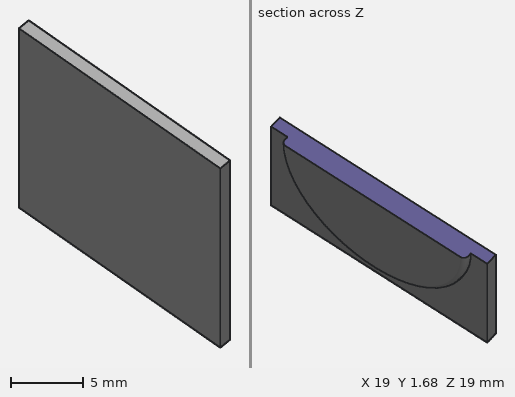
import cadquery as cq

plate_side = 19.0
plate_thickness = 1.0

disc_diameter = 16.15
disc_height = 0.68
disc_edge_radius = 0.4


def make_plate():
    """Square plate centred on X and Z, with its front face on Y = 0."""
    return cq.Workplane("XY").box(
        plate_side, plate_thickness, plate_side, centered=(True, False, True)
    )


def make_disc():
    """Disc standing on the plate's back face, with a rounded outer rim."""
    return (
        cq.Workplane("XZ", origin=(0, plate_thickness, 0))
        .circle(disc_diameter / 2)
        .extrude(-disc_height)
        .faces(">Y")
        .edges()
        .fillet(disc_edge_radius)
    )


result = make_plate().union(make_disc())